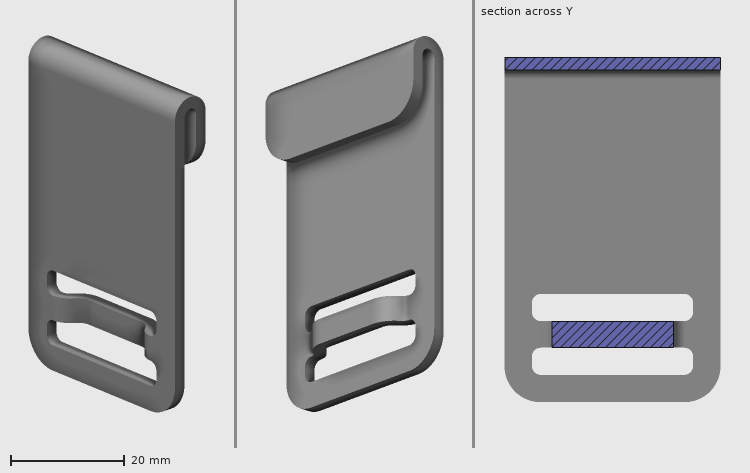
import cadquery as cq
import math

width = 38.1
height = 60.83
sheet = 2.286
depth = 7.37
hook_length = 15.24
corner_radius = 6.35

border = 4.826
slot_height = 4.78
bar_height = 4.7
slot_corner_radius = 1.588

bend_angle = math.radians(51.5)
plate_bend_inner_radius = 1.6
bar_bend_inner_radius = 2.8
ramp_run = 0.62

hook_outer_radius = depth / 2
hook_inner_radius = hook_outer_radius - sheet
hook_center_z = height - hook_outer_radius
hook_end_z = height - hook_length
slot_width = width - 2 * border
lower_slot_z = border
bar_z = lower_slot_z + slot_height
upper_slot_z = bar_z + bar_height
bar_half_length = slot_width / 2 - slot_corner_radius


def make_hooked_sheet():
    """J-shaped side profile extruded across the full width."""
    profile = (
        cq.Workplane("YZ")
        .moveTo(0, 0)
        .lineTo(0, hook_center_z)
        .threePointArc((hook_outer_radius, height), (depth, hook_center_z))
        .lineTo(depth, hook_end_z)
        .lineTo(depth - sheet, hook_end_z)
        .lineTo(depth - sheet, hook_center_z)
        .threePointArc((hook_outer_radius, hook_center_z + hook_inner_radius), (sheet, hook_center_z))
        .lineTo(sheet, 0)
        .close()
    )
    return profile.extrude(width / 2, both=True)


def round_free_corners(body):
    """Round the two lower corners of the plate and of the hook flange."""
    body = body.faces("<Z").edges("|Y").fillet(corner_radius)
    flange_zone = cq.selectors.BoxSelector(
        (-width, depth - sheet, hook_end_z - sheet),
        (width, depth, hook_end_z + sheet),
    )
    return body.edges("|Y").edges(flange_zone).fillet(corner_radius)


def box_through_plate(size_x, size_z, bottom_z):
    """Block as deep as the sheet, centred on X = 0."""
    block = cq.Workplane("XY").box(size_x, sheet, size_z, centered=(True, False, False))
    return block.translate((0, 0, bottom_z))


def make_slot(bottom_z):
    slot = box_through_plate(slot_width, slot_height, bottom_z)
    return slot.edges("|Y").fillet(slot_corner_radius)


def bar_face_points(inset):
    """Right-hand points of one bar face, from the plate to the bar's flat middle.

    inset is the distance of the face behind the front face of the sheet.
    The points are: bend start, bend middle, ramp start, ramp end, bend middle, bend end.
    """
    plate_radius = plate_bend_inner_radius + sheet - inset
    bar_radius = bar_bend_inner_radius + inset
    plate_center = (bar_half_length, sheet + plate_bend_inner_radius)
    center_distance = plate_bend_inner_radius + sheet + bar_bend_inner_radius
    ramp_depth = ramp_run * math.tan(bend_angle)
    bar_center = (
        plate_center[0] - center_distance * math.sin(bend_angle) - ramp_run,
        plate_center[1] - center_distance * math.cos(bend_angle) + ramp_depth,
    )

    def on_plate_bend(angle):
        return (
            plate_center[0] - plate_radius * math.sin(angle),
            plate_center[1] - plate_radius * math.cos(angle),
        )

    def on_bar_bend(angle):
        return (
            bar_center[0] + bar_radius * math.sin(angle),
            bar_center[1] + bar_radius * math.cos(angle),
        )

    plate_bend = [on_plate_bend(angle) for angle in (0, bend_angle / 2, bend_angle)]
    bar_bend = [on_bar_bend(angle) for angle in (bend_angle, bend_angle / 2, 0)]
    return plate_bend + bar_bend


def mirrored(points):
    """The same points on the left-hand side, in reverse order."""
    return [(-x, y) for x, y in reversed(points)]


def add_bends(outline, points):
    """Continue an outline at points[0] along arc, ramp and arc."""
    outline = outline.threePointArc(points[1], points[2])
    outline = outline.lineTo(*points[3])
    return outline.threePointArc(points[4], points[5])


def make_bar():
    """Strip of sheet thickness, jogged backwards behind the plate."""
    front = bar_face_points(0)
    back = bar_face_points(sheet)
    outline = cq.Workplane("XY").moveTo(*front[0])
    outline = add_bends(outline, front)
    left_front = mirrored(front)
    outline = outline.lineTo(*left_front[0])
    outline = add_bends(outline, left_front)
    left_back = list(reversed(mirrored(back)))
    outline = outline.lineTo(*left_back[0])
    outline = add_bends(outline, left_back)
    right_back = list(reversed(back))
    outline = outline.lineTo(*right_back[0])
    outline = add_bends(outline, right_back).close()
    return outline.extrude(bar_height).translate((0, 0, bar_z))


clip = round_free_corners(make_hooked_sheet())
for slot_z in (lower_slot_z, upper_slot_z):
    clip = clip.cut(make_slot(slot_z))
clip = clip.cut(box_through_plate(2 * bar_half_length, bar_height, bar_z))
result = clip.union(make_bar())